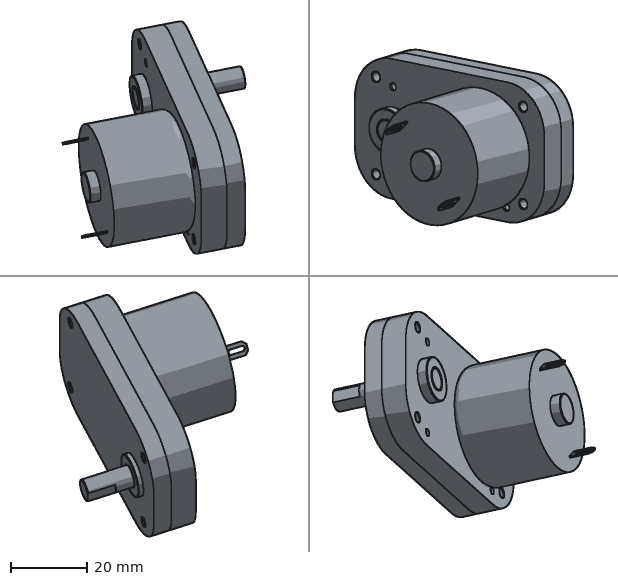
import cadquery as cq


BOX_LENGTH = 64.4
BOX_HEIGHT = 38.0
BOX_CORNER_RADIUS = 12.5
COVER_THICKNESS = 5.0
HOUSING_THICKNESS = 7.0
COVER_Y = COVER_THICKNESS
HOUSING_Y = -HOUSING_THICKNESS
EDGE_CHAMFER = 0.2

MOUNT_SPACING_X = 50.05
MOUNT_SPACING_Z = 26.4
MOUNT_HOLE_RADIUS = 1.3

REAR_WALL = 0.8
BLOCK_LENGTH = 43.15
BLOCK_HEIGHT = 34.8
BLOCK_THICKNESS = HOUSING_THICKNESS - REAR_WALL

SHAFT_X = -19.25
SHAFT_RADIUS = 3.0
SHAFT_PROJECTION = 14.5
FLAT_LENGTH = 7.9
FLAT_DEPTH = 0.48

BUSHING_RADIUS = 6.0
FRONT_BUSHING_PROJECTION = 1.5
REAR_BUSHING_PROJECTION = 2.8
FRONT_BUSHING_LENGTH = COVER_THICKNESS + FRONT_BUSHING_PROJECTION
REAR_BUSHING_LENGTH = HOUSING_THICKNESS + REAR_BUSHING_PROJECTION
REAR_BUSHING_Y = -REAR_BUSHING_LENGTH

SMALL_HOLE_RADIUS = 1.0
SMALL_HOLE_TOP_Z = 11.45
SMALL_HOLE_BOTTOM_Z = -15.1
SMALL_HOLE_CENTERS = [
    (SHAFT_X, SMALL_HOLE_TOP_Z),
    (SHAFT_X, SMALL_HOLE_BOTTOM_Z),
    (-SHAFT_X, SMALL_HOLE_BOTTOM_Z),
]

MOTOR_X = 11.7
MOTOR_TURN = 45.0
CAN_RADIUS = 16.5
CAN_LENGTH = 22.75
CAN_EDGE_RADIUS = 2.0
CAN_END_Y = HOUSING_Y - CAN_LENGTH
BOSS_RADIUS = 4.1
BOSS_LENGTH = 2.95

TERMINAL_OFFSET = 12.55
TERMINAL_WIDTH = 3.85
TERMINAL_THICKNESS = 0.45
TERMINAL_LENGTH = 6.45
TERMINAL_CHAMFER = 1.0
SLOT_WIDTH = 1.4
SLOT_LENGTH = 4.65
SLOT_CENTER = 3.4


def section_plane(y, x=0.0):
    """Workplane across Y, with local axes along X and Z, that extrudes toward -Y."""
    return cq.Workplane("XZ", origin=(x, y, 0))


def rod(x, radius, front_y, length):
    """Cylinder along Y that starts at front_y and runs toward -Y."""
    return section_plane(front_y, x).circle(radius).extrude(length)


def box_layer(front_y, thickness, outer_face):
    """Rounded plate with four mounting holes, chamfered on its outer face."""
    plate = section_plane(front_y).rect(BOX_LENGTH, BOX_HEIGHT).extrude(thickness)
    plate = plate.edges("|Y").fillet(BOX_CORNER_RADIUS)
    mount_holes = (
        section_plane(front_y)
        .rect(MOUNT_SPACING_X, MOUNT_SPACING_Z, forConstruction=True)
        .vertices()
        .circle(MOUNT_HOLE_RADIUS)
        .extrude(thickness)
    )
    plate = plate.cut(mount_holes)
    hole_rims = plate.faces(outer_face).edges(cq.selectors.RadiusNthSelector(0))
    return hole_rims.chamfer(EDGE_CHAMFER)


def block_blank():
    """Plain inner block, which is also the shape of its recess in the housing."""
    return section_plane(0).rect(BLOCK_LENGTH, BLOCK_HEIGHT).extrude(BLOCK_THICKNESS)


def small_holes():
    return (
        section_plane(0)
        .pushPoints(SMALL_HOLE_CENTERS)
        .circle(SMALL_HOLE_RADIUS)
        .extrude(HOUSING_THICKNESS)
    )


def make_cover():
    bushing_seat = rod(SHAFT_X, BUSHING_RADIUS, COVER_Y, COVER_THICKNESS)
    return box_layer(COVER_Y, COVER_THICKNESS, ">Y").cut(bushing_seat)


def make_housing():
    bushing_seat = rod(SHAFT_X, BUSHING_RADIUS, 0, HOUSING_THICKNESS)
    housing = box_layer(0, HOUSING_THICKNESS, "<Y")
    return housing.cut(block_blank()).cut(bushing_seat).cut(small_holes())


def make_inner_block():
    bushing_seat = rod(SHAFT_X, BUSHING_RADIUS, 0, BLOCK_THICKNESS)
    return block_blank().cut(bushing_seat).cut(small_holes())


def make_bushing(front_y, length, outer_face):
    """Sleeve around the shaft, chamfered at the bore and rim of its outer face."""
    sleeve = section_plane(front_y, SHAFT_X).circle(BUSHING_RADIUS).circle(SHAFT_RADIUS).extrude(length)
    return sleeve.faces(outer_face).edges().chamfer(EDGE_CHAMFER)


def make_shaft():
    """Shaft that ends flush with the rear bushing and has a flat on the -X side of its tip."""
    tip_y = COVER_Y + SHAFT_PROJECTION
    shaft = rod(SHAFT_X, SHAFT_RADIUS, tip_y, tip_y - REAR_BUSHING_Y)
    shaft = shaft.faces("<Y or >Y").edges().chamfer(EDGE_CHAMFER)
    shaft_diameter = 2 * SHAFT_RADIUS
    flat_cutter_x = SHAFT_X - shaft_diameter + FLAT_DEPTH
    flat_cutter = section_plane(tip_y, flat_cutter_x).rect(shaft_diameter, shaft_diameter)
    return shaft.cut(flat_cutter.extrude(FLAT_LENGTH))


def place_on_motor_axis(body):
    """Turn a body built around the Y axis to the motor's angle and move it to the motor's axis."""
    return body.rotate((0, 0, 0), (0, 1, 0), MOTOR_TURN).translate((MOTOR_X, 0, 0))


def make_motor():
    can = rod(0, CAN_RADIUS, HOUSING_Y, CAN_LENGTH).faces(">Y").edges().fillet(CAN_EDGE_RADIUS)
    boss = rod(0, BOSS_RADIUS, CAN_END_Y, BOSS_LENGTH).faces("<Y").edges().chamfer(EDGE_CHAMFER)
    return place_on_motor_axis(can.union(boss))


def make_terminal(side):
    """Slotted tab on the rear end of the can; side is +1 or -1 across the motor axis."""
    tab = (
        cq.Workplane("YZ")
        .center(CAN_END_Y - TERMINAL_LENGTH / 2, 0)
        .rect(TERMINAL_LENGTH, TERMINAL_WIDTH)
        .extrude(TERMINAL_THICKNESS / 2, both=True)
        .edges("|X and <Y")
        .chamfer(TERMINAL_CHAMFER)
    )
    slot = (
        cq.Workplane("YZ")
        .center(CAN_END_Y - SLOT_CENTER, 0)
        .slot2D(SLOT_LENGTH, SLOT_WIDTH)
        .extrude(TERMINAL_THICKNESS / 2, both=True)
    )
    return place_on_motor_axis(tab.cut(slot).translate((side * TERMINAL_OFFSET, 0, 0)))


cover = make_cover()
housing = make_housing()
inner_block = make_inner_block()
front_bushing = make_bushing(FRONT_BUSHING_LENGTH, FRONT_BUSHING_LENGTH, ">Y")
rear_bushing = make_bushing(0, REAR_BUSHING_LENGTH, "<Y")
shaft = make_shaft()
motor = make_motor()
terminals = [make_terminal(side) for side in (1, -1)]

result = cq.Compound.makeCompound([
    cover.val(),
    housing.val(),
    inner_block.val(),
    front_bushing.val(),
    rear_bushing.val(),
    shaft.val(),
    motor.val(),
    *[terminal.val() for terminal in terminals],
])